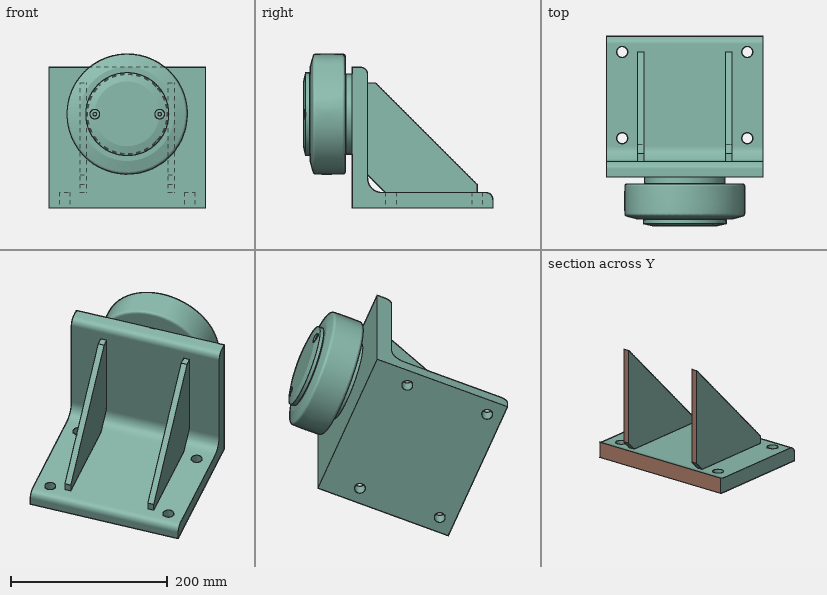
import cadquery as cq
import math

width = 200.0
leg = 180.0
thickness = 20.0
inner_radius = 18.0
toe_radius = 9.5

hole_diameter = 13.8
hole_margin = 20.0
hole_pitch_y = 110.0

rib_thickness = 8.0
rib_side_offset = 40.0
rib_end_gap = 20.0
rib_edge = 10.0
rib_corner_relief = 22.0

axis_height = 120.0
neck_diameter = 103.0
neck_end = 7.7
rear_gap_diameter = 101.2
roller_diameter = 154.0
roller_start = 8.5
roller_end = 53.5
roller_face_diameter = 120.5
face_angle = 15
crown_radius = 500.0
corner_radius = 3.5
front_gap_diameter = 101.5
cap_start = 54.2
cap_diameter = 106.0
cap_bevel_start = 59.3
cap_end = 62.0
cap_flat_diameter = 82.8

screw_recess_diameter = 12.3
screw_recess_depth = 2.5
socket_diameter = 4.5
socket_depth = 1.0


def make_bracket():
    """L-shaped angle with a rounded inner corner and rounded toes."""
    profile = (
        cq.Workplane("YZ")
        .polyline([(0, 0), (leg, 0), (leg, thickness), (thickness, thickness), (thickness, leg), (0, leg)])
        .close()
        .extrude(width / 2, both=True)
    )
    inner_corner = cq.selectors.NearestToPointSelector((0, thickness, thickness))
    base_toe = cq.selectors.NearestToPointSelector((0, leg, thickness))
    upright_toe = cq.selectors.NearestToPointSelector((0, thickness, leg))
    bracket = profile.edges(inner_corner).fillet(inner_radius)
    bracket = bracket.edges(base_toe).fillet(toe_radius)
    return bracket.edges(upright_toe).fillet(toe_radius)


def make_mounting_holes():
    hole_x = width / 2 - hole_margin
    far_y = leg - hole_margin
    centres = [(x, y) for x in (-hole_x, hole_x) for y in (far_y - hole_pitch_y, far_y)]
    return cq.Workplane("XY").pushPoints(centres).circle(hole_diameter / 2).extrude(thickness)


def make_rib(start_x):
    """45 degree gusset whose inner corner is cut away to clear the fillet."""
    far = leg - rib_end_gap
    near = thickness
    return (
        cq.Workplane("YZ", origin=(start_x, 0, 0))
        .moveTo(near + rib_corner_relief, near)
        .lineTo(far, near)
        .lineTo(far, near + rib_edge)
        .lineTo(near + rib_edge, far)
        .lineTo(near, far)
        .lineTo(near, near + rib_corner_relief)
        .close()
        .extrude(rib_thickness)
    )


def make_roller():
    """Neck, crowned roller and bevelled cap, revolved about the roller axis."""
    radius = roller_diameter / 2
    face_radius = roller_face_diameter / 2
    tread_end = roller_end - (radius - face_radius) * math.tan(math.radians(face_angle))
    tread_middle = (roller_start + tread_end) / 2
    half_tread = (tread_end - roller_start) / 2
    edge_radius = radius - crown_radius + math.sqrt(crown_radius**2 - half_tread**2)

    tread = (
        cq.Workplane("XY")
        .moveTo(0, -roller_start)
        .lineTo(edge_radius, -roller_start)
        .threePointArc((radius, -tread_middle), (edge_radius, -tread_end))
        .lineTo(face_radius, -roller_end)
        .lineTo(0, -roller_end)
        .close()
        .revolve(360, (0, 0), (0, 1))
    )
    outermost_edge = cq.selectors.RadiusNthSelector(-1)
    tread = tread.faces(">Y").edges(outermost_edge).fillet(corner_radius)
    slab_half = 0.2
    front_box = cq.selectors.BoxSelector(
        (-radius, -tread_end - slab_half, -radius),
        (radius, -tread_end + slab_half, radius),
    )
    tread = tread.edges("%CIRCLE").edges(front_box).fillet(corner_radius)

    spindle = (
        cq.Workplane("XY")
        .moveTo(0, 0)
        .lineTo(neck_diameter / 2, 0)
        .lineTo(neck_diameter / 2, -neck_end)
        .lineTo(rear_gap_diameter / 2, -neck_end)
        .lineTo(rear_gap_diameter / 2, -roller_start)
        .lineTo(front_gap_diameter / 2, -roller_end)
        .lineTo(front_gap_diameter / 2, -cap_start)
        .lineTo(cap_diameter / 2, -cap_start)
        .lineTo(cap_diameter / 2, -cap_bevel_start)
        .lineTo(cap_flat_diameter / 2, -cap_end)
        .lineTo(0, -cap_end)
        .close()
        .revolve(360, (0, 0), (0, 1))
    )
    return tread.union(spindle).translate((0, 0, axis_height))


def make_screw_recess(centre_x):
    """Round recess with a small socket in its floor."""
    face = cq.Workplane("XZ", origin=(centre_x, -cap_end, axis_height))
    recess = face.circle(screw_recess_diameter / 2).extrude(-screw_recess_depth)
    socket = face.circle(socket_diameter / 2).extrude(-screw_recess_depth - socket_depth)
    return recess.union(socket)


result = make_bracket().cut(make_mounting_holes())
rib_x = width / 2 - rib_side_offset
for rib_start in (-rib_x, rib_x - rib_thickness):
    result = result.union(make_rib(rib_start))
result = result.union(make_roller())
for side in (-1, 1):
    result = result.cut(make_screw_recess(side * cap_flat_diameter / 2))